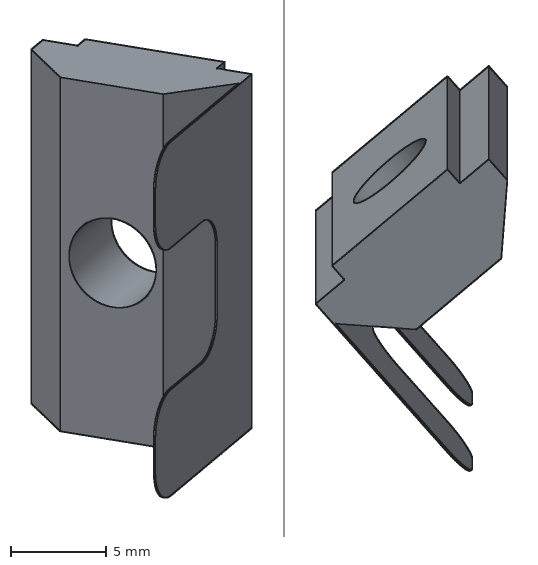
import cadquery as cq

width = 12.0
length = 20.0
depth = 5.5

step_width = 8.0
step_depth = 1.0
bevel = 3.0
hole_diameter = 5.0

plate_thickness = 0.1
plate_reach = 13.5
prong_height = 6.0
corner_radius = 2.0

half_width = width / 2
half_length = length / 2
half_step = step_width / 2
plate_inner_x = half_width - plate_thickness
bevel_start_y = bevel - depth


def make_block():
    """Stepped, bevelled bar with a round hole through its middle."""
    outline = [
        (-half_step, 0),
        (half_step, 0),
        (half_step, -step_depth),
        (half_width, -step_depth),
        (half_width, bevel_start_y),
        (plate_inner_x, bevel_start_y),
        (plate_inner_x - bevel, -depth),
        (bevel - half_width, -depth),
        (-half_width, bevel_start_y),
        (-half_width, -step_depth),
        (-half_step, -step_depth),
    ]
    bar = cq.Workplane("XY").polyline(outline).close().extrude(half_length, both=True)
    hole = cq.Workplane("XZ").circle(hole_diameter / 2).extrude(depth)
    return bar.cut(hole)


def make_plate():
    """Flat plate with two rounded prongs either side of a rounded notch."""
    notch_half = half_length - prong_height
    outline = [
        (-step_depth, -half_length),
        (-plate_reach, -half_length),
        (-plate_reach, -notch_half),
        (-depth, -notch_half),
        (-depth, notch_half),
        (-plate_reach, notch_half),
        (-plate_reach, half_length),
        (-step_depth, half_length),
    ]
    plate = (
        cq.Workplane("YZ", origin=(plate_inner_x, 0, 0))
        .polyline(outline)
        .close()
        .extrude(plate_thickness)
    )
    return plate.edges("|X and (not >Y)").fillet(corner_radius)


result = make_block().union(make_plate())